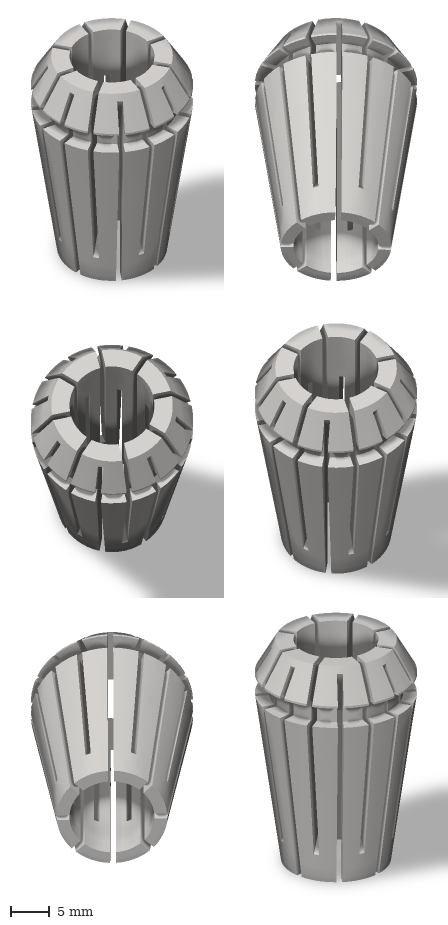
import cadquery as cq
import math

length = 31.5
max_radius = 10.5
bore_radius = 5.5

body_top = 23.85
groove_top = 26.65
groove_radius = 8.7
nose_rim_top = 26.95
body_half_angle = 8.0
nose_half_angle = 30.0
foot_radius = max_radius - body_top * math.tan(math.radians(body_half_angle))
nose_radius = max_radius - (length - nose_rim_top) * math.tan(math.radians(nose_half_angle))

slots_per_set = 8
slot_pitch = 360.0 / slots_per_set
slot_width = 0.75
top_slot_outer_end = 4.05
top_slot_bore_end = 6.8
bottom_slot_outer_end = 30.6
bottom_slot_bore_end = 24.0
overrun = 1.0


def body_radius_at(height):
    return foot_radius + height * math.tan(math.radians(body_half_angle))


def nose_radius_at(height):
    return nose_radius + (length - height) * math.tan(math.radians(nose_half_angle))


def collet_blank():
    """Revolved collet with its bore, before slotting."""
    half_section = [
        (bore_radius, 0),
        (foot_radius, 0),
        (max_radius, body_top),
        (groove_radius, body_top),
        (groove_radius, groove_top),
        (max_radius, groove_top),
        (max_radius, nose_rim_top),
        (nose_radius, length),
        (bore_radius, length),
    ]
    return cq.Workplane("XZ").polyline(half_section).close().revolve(360, (0, 0), (0, 1))


def slot_cutter(outer_end_radius, outer_end_height, bore_end_height, open_height):
    """Radial blade over +X, from its sloped closed end to open_height."""
    slope = (bore_end_height - outer_end_height) / (outer_end_radius - bore_radius)
    inner = bore_radius - overrun
    outer = max_radius + overrun
    inner_end_height = outer_end_height + slope * (outer_end_radius - inner)
    far_end_height = outer_end_height + slope * (outer_end_radius - outer)
    blade_outline = [
        (inner, inner_end_height),
        (outer, far_end_height),
        (outer, open_height),
        (inner, open_height),
    ]
    return cq.Workplane("XZ").polyline(blade_outline).close().extrude(slot_width / 2, both=True)


def cut_slots(collet, cutter, first_angle):
    """Cut one full set of equally spaced slots."""
    for index in range(slots_per_set):
        angle = first_angle + index * slot_pitch
        collet = collet.cut(cutter.rotate((0, 0, 0), (0, 0, 1), angle))
    return collet


top_slot = slot_cutter(
    body_radius_at(top_slot_outer_end), top_slot_outer_end, top_slot_bore_end, length + overrun
)
bottom_slot = slot_cutter(
    nose_radius_at(bottom_slot_outer_end), bottom_slot_outer_end, bottom_slot_bore_end, -overrun
)

result = cut_slots(collet_blank(), top_slot, 0)
result = cut_slots(result, bottom_slot, slot_pitch / 2)